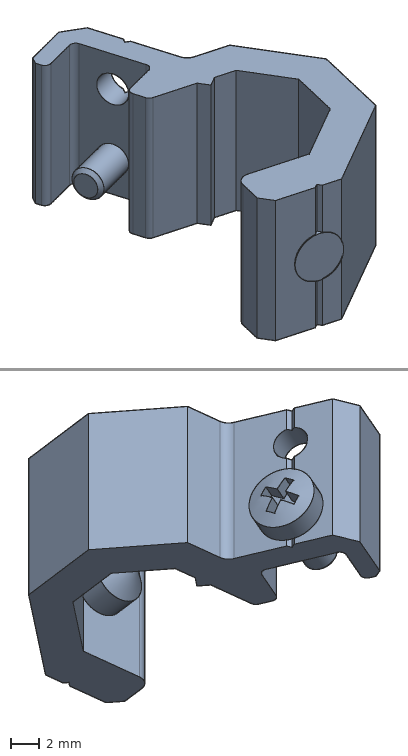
import cadquery as cq
import math

height = 12.0

wall = 3.03
right_wall = 3.93
inner_width = 11.9
roof_top = 8.8
left_slope = 5.02
right_slope = 6.9
right_leg_bottom = -4.55
right_leg_chamfer = 0.95
ridge = 0.72

clip_tilt = 30.0
clip_x = -7.3
clip_y = -2.2
arm_thickness = 2.07
slot_half_width = 3.25
lip_thickness = 1.5
clip_depth = 5.8
lip_corner_chamfer = 1.5
lip_end_chamfer = 0.5

small_radius = 0.5
large_radius = 1.0
mark_depth = 0.3

hole_offset = 3.0
shank_diameter = 2.6
shank_length = 5.98
shank_chamfer = 0.32
head_diameter = 5.0
head_height = 1.7
dome_height = 0.5
recess_span = 2.92
recess_width = 0.75
recess_depth = 0.8
recess_turn = -30.0
set_screw_diameter = 4.0
set_screw_tip_diameter = 0.42
set_screw_tip_x = 7.9
set_screw_cone_length = (set_screw_diameter - set_screw_tip_diameter) / 2
set_screw_protrusion = 0.08

right_inner = inner_width
right_outer = inner_width + right_wall
tilt_cos = math.cos(math.radians(clip_tilt))
tilt_sin = math.sin(math.radians(clip_tilt))


def clip_point(along, out):
    """Part XY of a clip point: along the arm, and outward from its outer face."""
    return (clip_x + along * tilt_cos - out * tilt_sin, clip_y + along * tilt_sin + out * tilt_cos)


def clip_point_at_x(x, out):
    """Part XY where a line parallel to the arm crosses the given X."""
    along = (x - clip_x + out * tilt_sin) / tilt_cos
    return clip_point(along, out)


def screw_plane(z):
    """Plane on the outer arm face whose normal points outward along a cap screw axis."""
    return cq.Plane(origin=(clip_x, clip_y, z), xDir=(tilt_cos, tilt_sin, 0), normal=(-tilt_sin, tilt_cos, 0))


def make_clamp():
    miter = wall * math.tan(math.radians(22.5))
    roof_bottom = roof_top - wall
    roof_left = left_slope - wall
    roof_right = right_outer - right_slope
    inner_roof_right = roof_right - miter
    lip_outer = -slot_half_width - lip_thickness

    arm_wall_corner = clip_point_at_x(-wall, 0)
    prong_wall_corner = clip_point_at_x(0, -clip_depth)
    prong_slot_corner = clip_point(slot_half_width, -clip_depth)
    slot_right_corner = clip_point(slot_half_width, -arm_thickness)
    slot_left_corner = clip_point(-slot_half_width, -arm_thickness)
    lip_end_corner = clip_point(-slot_half_width, -clip_depth)
    leg_corner = (right_inner, right_leg_bottom)

    outline = [
        (roof_left, roof_top),
        (roof_right, roof_top),
        (right_outer, roof_top - right_slope),
        (right_outer, mark_depth),
        (right_outer - mark_depth, 0),
        (right_outer, -mark_depth),
        (right_outer, right_leg_bottom + right_leg_chamfer),
        (right_outer - right_leg_chamfer, right_leg_bottom),
        leg_corner,
        (right_inner, roof_bottom - (right_inner - inner_roof_right)),
        (inner_roof_right, roof_bottom),
        (roof_left + miter, roof_bottom),
        (0, roof_top - left_slope - miter),
        (0, ridge),
        (ridge, 0),
        (0, -ridge),
        prong_wall_corner,
        prong_slot_corner,
        slot_right_corner,
        slot_left_corner,
        lip_end_corner,
        clip_point(lip_outer + lip_end_chamfer, -clip_depth),
        clip_point(lip_outer, -clip_depth + lip_end_chamfer),
        clip_point(lip_outer, -lip_corner_chamfer),
        clip_point(lip_outer + lip_corner_chamfer, 0),
        clip_point(-mark_depth, 0),
        clip_point(0, -mark_depth),
        clip_point(mark_depth, 0),
        arm_wall_corner,
        (-wall, roof_top - left_slope),
    ]
    body = cq.Workplane("XY").polyline(outline).close().extrude(height / 2, both=True)

    def round_edges(solid, corners, radius):
        for x, y in corners:
            edge_at_corner = cq.selectors.NearestToPointSelector((x, y, 0))
            solid = solid.edges("|Z").edges(edge_at_corner).fillet(radius)
        return solid

    small_corners = [
        prong_wall_corner,
        prong_slot_corner,
        slot_right_corner,
        slot_left_corner,
        lip_end_corner,
    ]
    body = round_edges(body, small_corners, small_radius)
    body = round_edges(body, [arm_wall_corner, leg_corner], large_radius)

    for z in (-hole_offset, hole_offset):
        hole = cq.Workplane(screw_plane(z)).circle(shank_diameter / 2).extrude(-arm_thickness)
        body = body.cut(hole)

    set_screw_hole = (
        cq.Workplane("YZ", origin=(set_screw_tip_x, 0, 0))
        .circle(set_screw_diameter / 2)
        .extrude(right_outer - set_screw_tip_x)
    )
    return body.cut(set_screw_hole)


def make_cap_screw():
    plane = screw_plane(-hole_offset)
    shank_radius = shank_diameter / 2
    head_radius = head_diameter / 2
    dome_radius = (head_radius**2 + dome_height**2) / (2 * dome_height)
    dome_centre = head_height + dome_height - dome_radius
    mid_dome = (head_radius / 2, dome_centre + math.sqrt(dome_radius**2 - (head_radius / 2) ** 2))

    profile_plane = cq.Plane(origin=plane.origin, xDir=plane.xDir, normal=(0, 0, 1))
    screw = (
        cq.Workplane(profile_plane)
        .moveTo(0, -shank_length)
        .lineTo(shank_radius - shank_chamfer, -shank_length)
        .lineTo(shank_radius, -shank_length + shank_chamfer)
        .lineTo(shank_radius, 0)
        .lineTo(head_radius, 0)
        .lineTo(head_radius, head_height)
        .threePointArc(mid_dome, (0, head_height + dome_height))
        .close()
        .revolve(360, (0, 0), (0, 1))
    )

    for turn in (recess_turn, recess_turn + 90):
        slot = (
            cq.Workplane(plane)
            .workplane(offset=head_height - recess_depth)
            .transformed(rotate=(0, 0, turn))
            .rect(recess_span, recess_width)
            .extrude(recess_depth + dome_height)
        )
        screw = screw.cut(slot)
    return screw


def make_set_screw():
    cone_end = set_screw_tip_x + set_screw_cone_length
    back = right_outer + set_screw_protrusion
    return (
        cq.Workplane("XY")
        .moveTo(set_screw_tip_x, 0)
        .lineTo(set_screw_tip_x, set_screw_tip_diameter / 2)
        .lineTo(cone_end, set_screw_diameter / 2)
        .lineTo(back, set_screw_diameter / 2)
        .lineTo(back, 0)
        .close()
        .revolve(360, (0, 0), (1, 0))
    )


clamp = make_clamp()
cap_screw = make_cap_screw()
set_screw = make_set_screw()

result = cq.Compound.makeCompound([clamp.val(), cap_screw.val(), set_screw.val()])